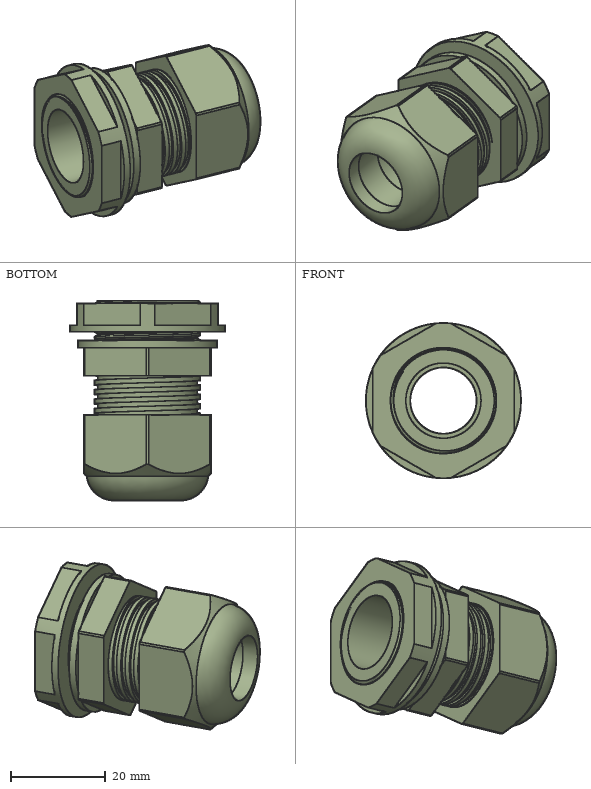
import cadquery as cq
import math


locknut_start = 0.6
locknut_flange_start = 5.23
locknut_end = 6.65
gasket_start = 8.45
base_hex_start = 10.03
base_hex_end = 15.98
cap_start = 24.25
base_end = 32.3
seal_end = 39.1
overall_length = 42.5

base_bore_radius = 8.0
cable_radius = 7.0

hex_flat_distance = 13.5
hex_corner_radius = 15.45
dome_radius = 6.0
dome_start = 37.25
dome_center = overall_length - dome_radius
dome_base_radius = cable_radius + math.sqrt(dome_radius**2 - (dome_start - dome_center) ** 2)
cap_bevel_start = dome_start - (hex_corner_radius - dome_base_radius)

gasket_radius = 14.8
locknut_radius = 33.0 / 2
locknut_flat_distance = 15.0

thread_major_radius = 11.25
thread_root_overlap = 0.13

entry_minor_radius = 10.55
entry_pitch = 1.4
entry_crest_station = 0.15
entry_root_width = 1.35
entry_crest_width = 0.42
entry_crest_height = 0.1
entry_end_radius = 10.8

cap_minor_radius = 10.6
cap_pitch = 2.0
cap_crest_station = 16.45
cap_ridge_width = cap_pitch / 2


def axial(y):
    """Workplane across the axis at station y, facing +Y, with its local x along X."""
    return cq.Workplane(cq.Plane(origin=(0, y, 0), xDir=(1, 0, 0), normal=(0, 1, 0)))


def cylinder(radius, start, end):
    return axial(start).circle(radius).extrude(end - start)


def tube(outer_radius, inner_radius, start, end):
    return axial(start).circle(outer_radius).circle(inner_radius).extrude(end - start)


def hexagon(flat_distance, start, end):
    """Hexagonal prism with flats on the +X and -X sides and edges at the top and bottom."""
    corner_distance = flat_distance / math.cos(math.pi / 6)
    prism = axial(start).polygon(6, 2 * corner_distance).extrude(end - start)
    return prism.rotate((0, 0, 0), (0, 1, 0), 30)


def helical_ridge(profile, pitch, crest_station, start, end):
    """Right-handed ridge of a closed (radius, axial) profile, trimmed between two stations."""
    turns_before = math.ceil((crest_station - start) / pitch) + 1
    first_station = crest_station - turns_before * pitch
    height = end + pitch - first_station
    helix = cq.Workplane(obj=cq.Wire.makeHelix(pitch, height, thread_major_radius))
    ridge = profile.sweep(helix, isFrenet=True)
    ridge = ridge.rotate((0, 0, 0), (1, 0, 0), -90).translate((0, first_station, 0))
    return ridge.intersect(cylinder(hex_corner_radius, start, end))


def make_entry_shank():
    """Threaded shank that carries the gasket and locknut."""
    root = entry_minor_radius - thread_root_overlap
    crest_edge = thread_major_radius - entry_crest_height
    profile = (
        cq.Workplane("XZ")
        .moveTo(root, -entry_root_width / 2)
        .lineTo(crest_edge, -entry_crest_width / 2)
        .threePointArc((thread_major_radius, 0), (crest_edge, entry_crest_width / 2))
        .lineTo(root, entry_root_width / 2)
        .close()
    )
    ridge = helical_ridge(profile, entry_pitch, entry_crest_station, 0, base_hex_start)
    shank = cylinder(entry_minor_radius, 0, base_hex_start).union(ridge)
    envelope_radius = thread_major_radius + entry_crest_height
    envelope = cylinder(envelope_radius, 0, base_hex_start)
    envelope = envelope.faces("<Y").chamfer(envelope_radius - entry_end_radius)
    return shank.intersect(envelope)


def make_cap_shank():
    """Threaded shank that carries the cap."""
    root = cap_minor_radius - thread_root_overlap
    profile = (
        cq.Workplane("XZ")
        .center((root + thread_major_radius) / 2, 0)
        .rect(thread_major_radius - root, cap_ridge_width)
    )
    ridge = helical_ridge(profile, cap_pitch, cap_crest_station, base_hex_end, base_end)
    return cylinder(cap_minor_radius, base_hex_end, base_end).union(ridge)


def make_base():
    """Hexagonal body with the entry thread on one end and the cap thread on the other."""
    body = hexagon(hex_flat_distance, base_hex_start, base_hex_end)
    body = body.intersect(cylinder(hex_corner_radius, base_hex_start, base_hex_end))
    body = body.union(make_entry_shank())
    body = body.union(make_cap_shank())
    return body.cut(cylinder(base_bore_radius, 0, base_end))


def make_cap():
    """Domed hexagonal cap nut, hollow for the base and seal, with a cable opening."""
    diagonal = dome_radius * math.sin(math.pi / 4)
    turned = (
        cq.Workplane("XY")
        .moveTo(0, cap_start)
        .lineTo(hex_corner_radius, cap_start)
        .lineTo(hex_corner_radius, cap_bevel_start)
        .lineTo(dome_base_radius, dome_start)
        .threePointArc(
            (cable_radius + diagonal, dome_center + diagonal),
            (cable_radius, overall_length),
        )
        .lineTo(0, overall_length)
        .close()
        .revolve(360, (0, 0, 0), (0, 1, 0))
    )
    cap = turned.intersect(hexagon(hex_flat_distance, cap_start, overall_length))
    cap = cap.cut(cylinder(thread_major_radius, cap_start, seal_end))
    return cap.cut(cylinder(cable_radius, seal_end, overall_length))


def make_seal():
    """Sealing ring that fills the cap between the base and the dome."""
    return tube(thread_major_radius, cable_radius, base_end, seal_end)


def make_gasket():
    return tube(gasket_radius, thread_major_radius, gasket_start, base_hex_start)


def make_locknut():
    """Hexagonal nut with a round flange; its corners are turned to the flange radius."""
    nut = hexagon(locknut_flat_distance, locknut_start, locknut_flange_start)
    nut = nut.intersect(cylinder(locknut_radius, locknut_start, locknut_flange_start))
    nut = nut.union(cylinder(locknut_radius, locknut_flange_start, locknut_end))
    return nut.cut(cylinder(thread_major_radius, locknut_start, locknut_end))


base = make_base()
cap = make_cap()
seal = make_seal()
gasket = make_gasket()
locknut = make_locknut()

bodies = [base, cap, seal, gasket, locknut]
result = cq.Compound.makeCompound([body.solids().val() for body in bodies])